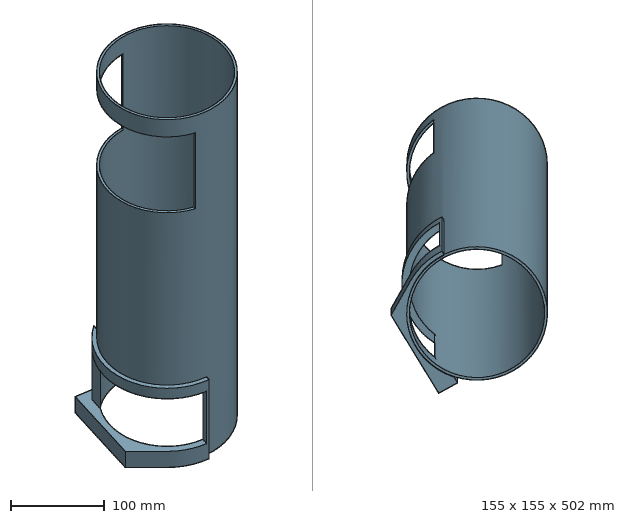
import cadquery as cq
import math

outer_diameter = 150.0
inner_diameter = 144.0
outer_radius = outer_diameter / 2
inner_radius = inner_diameter / 2
total_height = 502.0
tube_base = 2.0

upper_window_top_margin = 25.0
upper_window_height = 110.5
upper_window_back = -10.5

collar_thickness = 5.0
collar_radius = outer_radius + collar_thickness
collar_height = 115.5
collar_start_angle = math.radians(45)
collar_left = -collar_radius * math.sin(collar_start_angle)
collar_back = -collar_radius * math.cos(collar_start_angle)
collar_right_end = 3.0

foot_height = 23.5
foot_right = 44.5

lower_window_height = 76.5
left_jamb = -67.5
right_jamb = 0.0

cutter_size = 2 * collar_radius


def cylinder(radius, bottom, top):
    return cq.Workplane("XY").workplane(offset=bottom).circle(radius).extrude(top - bottom)


def front_block(left, right, back, bottom, top):
    """Block running from y = back out past the front of the part."""
    return cq.Workplane("XY").box(
        right - left, cutter_size, top - bottom, centered=False
    ).translate((left, back - cutter_size, bottom))


def make_collar():
    band = cylinder(collar_radius, 0, collar_height)
    left_region = front_block(-cutter_size, 0, collar_back, 0, collar_height)
    right_region = front_block(0, cutter_size, collar_right_end, 0, collar_height)
    return band.intersect(left_region.union(right_region))


def make_foot():
    tangent_angle = 2 * math.atan(foot_right / collar_radius)
    tangent_x = collar_radius * math.sin(tangent_angle)
    tangent_y = -collar_radius * math.cos(tangent_angle)
    return (
        cq.Workplane("XY")
        .moveTo(collar_left, collar_back)
        .lineTo(collar_left, -collar_radius)
        .lineTo(foot_right, -collar_radius)
        .lineTo(tangent_x, tangent_y)
        .lineTo(0, collar_back)
        .close()
        .extrude(foot_height)
    )


def cut_upper_window(body):
    top = total_height - upper_window_top_margin
    bottom = top - upper_window_height
    return body.cut(front_block(-cutter_size, cutter_size, upper_window_back, bottom, top))


def cut_lower_window(body):
    top = foot_height + lower_window_height
    left_part = front_block(-cutter_size, 0, left_jamb, foot_height, top)
    right_part = front_block(0, cutter_size, right_jamb, foot_height, top)
    return body.cut(left_part.union(right_part))


tube = cylinder(outer_radius, tube_base, total_height).cut(
    cylinder(inner_radius, tube_base, total_height)
)

tube_seat = cylinder(outer_radius, 0, total_height)
holder = make_collar().union(make_foot()).cut(tube_seat)

body = cut_upper_window(tube.union(holder))
result = cut_lower_window(body)